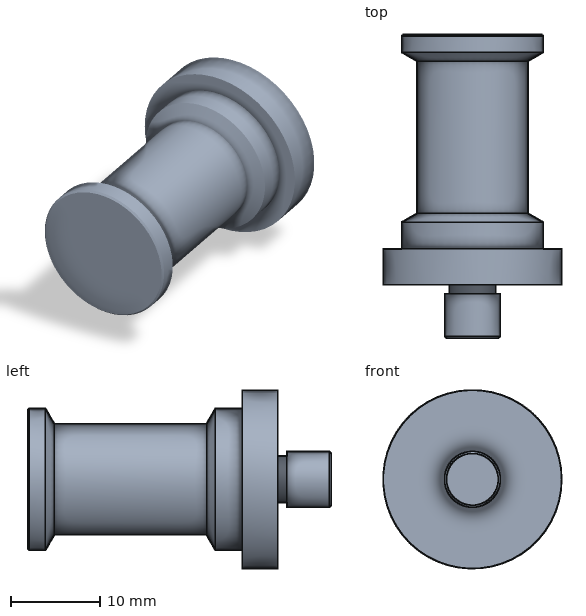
import cadquery as cq

total_length = 34.0

flange_diameter = 20.0
collar_diameter = 15.88
barrel_diameter = 12.45
stud_diameter = 6.25
neck_diameter = 5.25

stud_length = 5.0
neck_length = 1.0
flange_length = 4.0
collar_length = 3.0
cone_length = 1.0
head_length = 2.0

stud_chamfer = 0.25
head_chamfer = 0.2

neck_start = stud_length
flange_start = neck_start + neck_length
collar_start = flange_start + flange_length
front_cone_start = collar_start + collar_length
barrel_start = front_cone_start + cone_length
head_start = total_length - head_length
barrel_end = head_start - cone_length

flange_radius = flange_diameter / 2
collar_radius = collar_diameter / 2
barrel_radius = barrel_diameter / 2
stud_radius = stud_diameter / 2
neck_radius = neck_diameter / 2

half_section = [
    (0, 0),
    (stud_radius - stud_chamfer, 0),
    (stud_radius, stud_chamfer),
    (stud_radius, neck_start),
    (neck_radius, neck_start),
    (neck_radius, flange_start),
    (flange_radius, flange_start),
    (flange_radius, collar_start),
    (collar_radius, collar_start),
    (collar_radius, front_cone_start),
    (barrel_radius, barrel_start),
    (barrel_radius, barrel_end),
    (collar_radius, head_start),
    (collar_radius, total_length - head_chamfer),
    (collar_radius - head_chamfer, total_length),
    (0, total_length),
]

result = cq.Workplane("XY").polyline(half_section).close().revolve(360, (0, 0), (0, 1))